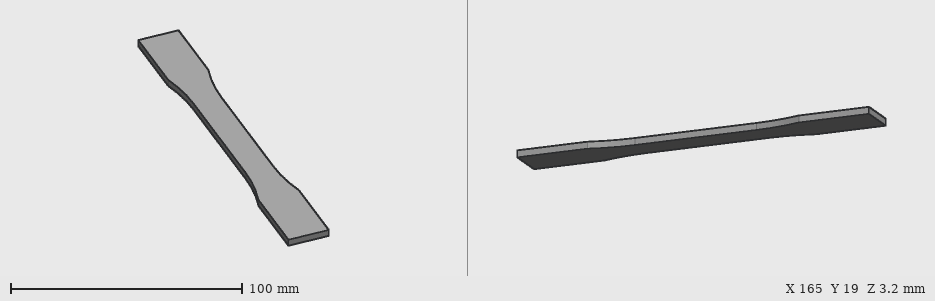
import cadquery as cq
import math

overall_length = 165.0
grip_width = 19.0
gauge_width = 13.0
gauge_length = 57.0
shoulder_radius = 76.0
thickness = 3.2

half_length = overall_length / 2
half_grip = grip_width / 2
half_gauge = gauge_width / 2
gauge_end = gauge_length / 2


def shoulder_run(rise):
    """Length along X over which a shoulder arc rises from the gauge edge."""
    return math.sqrt(shoulder_radius**2 - (shoulder_radius - rise) ** 2)


shoulder_rise = half_grip - half_gauge
mid_rise = shoulder_rise / 2
shoulder_end = gauge_end + shoulder_run(shoulder_rise)
shoulder_mid = gauge_end + shoulder_run(mid_rise)
mid_half_width = half_gauge + mid_rise


def make_bar():
    """Extrude one long half of the bar and mirror it about the XZ plane."""
    half_bar = (
        cq.Workplane("XY")
        .moveTo(-half_length, 0)
        .lineTo(-half_length, half_grip)
        .lineTo(-shoulder_end, half_grip)
        .threePointArc((-shoulder_mid, mid_half_width), (-gauge_end, half_gauge))
        .lineTo(gauge_end, half_gauge)
        .threePointArc((shoulder_mid, mid_half_width), (shoulder_end, half_grip))
        .lineTo(half_length, half_grip)
        .lineTo(half_length, 0)
        .close()
        .extrude(thickness)
    )
    return half_bar.union(half_bar.mirror("XZ")).clean()


result = make_bar()